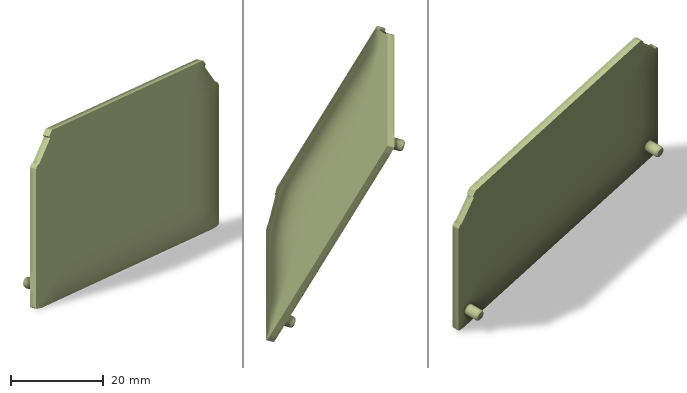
import cadquery as cq

plate_length = 68.8
plate_height = 39.3
plate_thickness = 1.65
half_length = plate_length / 2

top_half_width = 28.5
upper_nub_half_width = 29.5
upper_nub_depth = 1.2
slope_start_half_width = 29.1
slope_start_depth = 1.65
slope_end_half_width = 33.45
slope_end_depth = 6.55
lower_nub_half_width = 33.7
lower_nub_depth = 6.25
side_top_depth = 7.1

bottom_half_width = 32.35
bottom_rise = 0.3

corner_radius = 0.4

pin_diameter = 2.55
pin_length = 3.4
pin_half_spacing = 31.0
pin_height = 4.5
pin_tip_length = 0.4
pin_tip_inset = 0.2


def make_plate():
    """Extrude the mirrored outline from X = 0 towards +X."""
    right_side = [
        (bottom_half_width, 0),
        (half_length, bottom_rise),
        (half_length, plate_height - side_top_depth),
        (lower_nub_half_width, plate_height - lower_nub_depth),
        (slope_end_half_width, plate_height - slope_end_depth),
        (slope_start_half_width, plate_height - slope_start_depth),
        (upper_nub_half_width, plate_height - upper_nub_depth),
        (top_half_width, plate_height),
    ]
    left_side = [(-y, z) for y, z in reversed(right_side)]
    plate = cq.Workplane("YZ").polyline(right_side + left_side).close().extrude(plate_thickness)
    top_corners = plate.faces(">Z").edges("|X")
    side_corners = plate.faces("<Y or >Y").edges("|X")
    return plate.newObject(top_corners.vals() + side_corners.vals()).fillet(corner_radius)


def make_pin(y):
    """Make a pin pointing towards -X with a bevelled tip."""
    pin = cq.Workplane("YZ").center(y, pin_height).circle(pin_diameter / 2).extrude(-pin_length)
    return pin.faces("<X").chamfer(pin_tip_length, pin_tip_inset)


result = make_plate()
for pin_y in (-pin_half_spacing, pin_half_spacing):
    result = result.union(make_pin(pin_y))